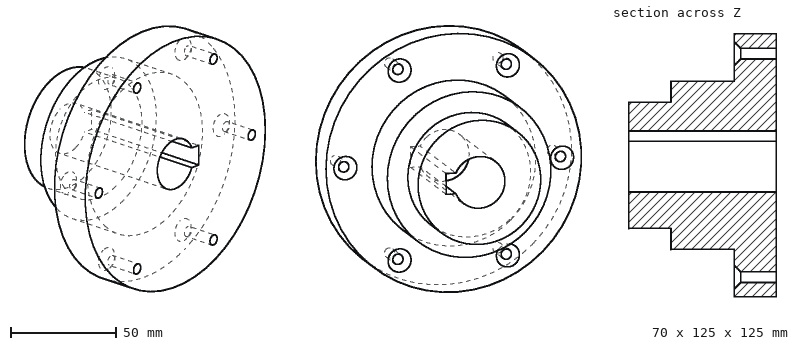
import cadquery as cq

flange_diameter = 125.0
flange_thickness = 20.0
shoulder_diameter = 80.0
shoulder_length = 30.0
hub_diameter = 60.0
hub_length = 20.0

bore_diameter = 25.0
keyway_width = 10.0
keyway_reach = 16.2

screw_count = 6
screw_circle_diameter = 106.0
screw_hole_diameter = 5.0
countersink_diameter = 11.2
countersink_angle = 90.0

flange_start = hub_length + shoulder_length
total_length = flange_start + flange_thickness


def disc(diameter, start, length):
    """Solid cylinder along +X from the given start."""
    return cq.Workplane("YZ", origin=(start, 0, 0)).circle(diameter / 2).extrude(length)


body = (
    disc(hub_diameter, 0, hub_length)
    .union(disc(shoulder_diameter, hub_length, shoulder_length))
    .union(disc(flange_diameter, flange_start, flange_thickness))
)

bore = disc(bore_diameter, 0, total_length)
keyway = cq.Workplane("XY").box(
    total_length, keyway_reach, keyway_width, centered=(False, False, True)
)
body = body.cut(bore).cut(keyway)

result = (
    body.copyWorkplane(cq.Workplane("YZ", origin=(flange_start, 0, 0)))
    .transformed(rotate=(0, 180, 0))
    .polarArray(screw_circle_diameter / 2, 0, 360, screw_count)
    .cskHole(screw_hole_diameter, countersink_diameter, countersink_angle, depth=flange_thickness)
)